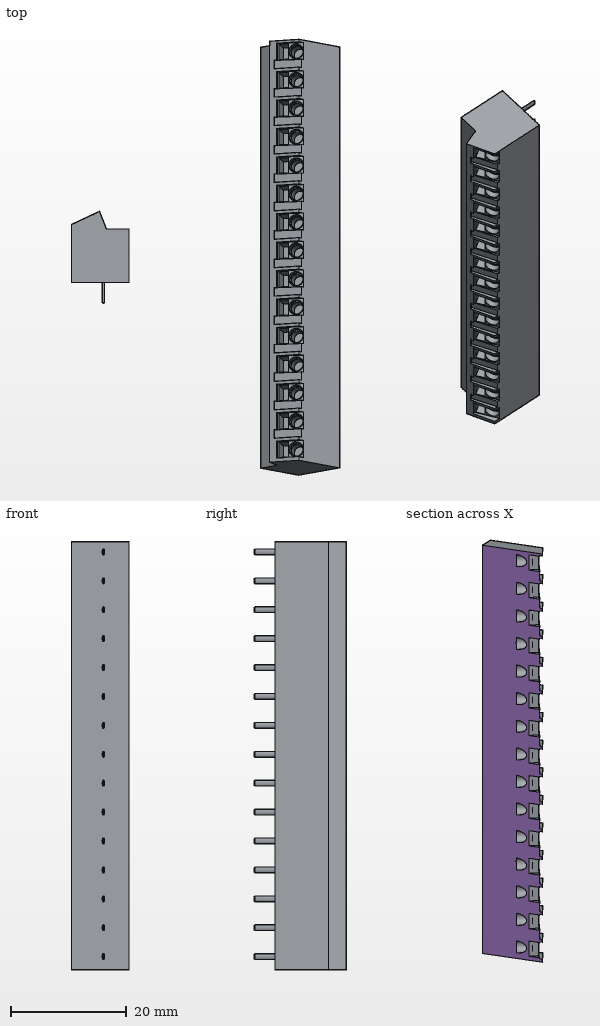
import cadquery as cq
import math

LENGTH = 74.1
WIDTH = 10.0
TOTAL_DEPTH = 15.9
PIN_LENGTH = 3.55
HOUSING_DEPTH = TOTAL_DEPTH - PIN_LENGTH
RIDGE_X = 4.9
SHOULDER_DROP = 2.3
LEDGE_DROP = 3.05
LEDGE_X = 6.1

POLES = 15
FIRST_PIN_Z = 2.3
LAST_PIN_MARGIN = 1.8
PITCH = (LENGTH - FIRST_PIN_Z - LAST_PIN_MARGIN) / (POLES - 1)

PIN_X = 5.55
PIN_THICKNESS = 0.45
PIN_WIDTH = 1.05
PIN_TIP_TAPER = 0.15
PIN_EMBED = 0.75

POCKET_WIDTH = 3
POCKET_OFFSET = -0.15
POCKET_TOP_X = 3.7
POCKET_MOUTH_DEPTH = 1.1
RECESS_TOP_DEPTH = 0.4

SLOT_WIDTH = 1.5
SLOT_TOP_X = 4.15
SLOT_MOUTH_DEPTH = 0.7
SLOT_OFFSET = PITCH + POCKET_OFFSET - (POCKET_WIDTH + SLOT_WIDTH) / 2

OPENING_DEPTH = 3.7
RELEASE_WIDTH = 2.7
RELEASE_LENGTH = 1.6
RELEASE_DISTANCE = 3.5
WIRE_DIAMETER = 2.5
WIRE_STEP_DEPTH = 1.1
WIRE_INNER_DIAMETER = 2.1
WIRE_DISTANCE = 1.3

FACE_ANGLE = math.atan2(SHOULDER_DROP, RIDGE_X)
SHOULDER_Y = HOUSING_DEPTH - SHOULDER_DROP


def make_housing():
    """Extrude the ridged section along Z, with its base on Y = 0."""
    ledge_y = HOUSING_DEPTH - LEDGE_DROP
    outline = [
        (0, 0),
        (WIDTH, 0),
        (WIDTH, ledge_y),
        (LEDGE_X, ledge_y),
        (RIDGE_X, HOUSING_DEPTH),
        (0, SHOULDER_Y),
    ]
    return cq.Workplane("XY").polyline(outline).close().extrude(LENGTH)


def wire_face_y(x):
    """Return the Y of the sloping wire face at a given X."""
    return SHOULDER_Y + x * math.tan(FACE_ANGLE)


def recess_floor(top_x, mouth_depth):
    """Return the outer and inner ends of a recess floor in the XY section."""
    inner_x = top_x + RECESS_TOP_DEPTH * math.sin(FACE_ANGLE)
    inner_y = wire_face_y(top_x) - RECESS_TOP_DEPTH * math.cos(FACE_ANGLE)
    return (0, SHOULDER_Y - mouth_depth), (inner_x, inner_y)


def make_recess(top_x, mouth_depth, width, centre_z):
    """Wedge under the wire face, ending in a wall square to that face."""
    outer, inner = recess_floor(top_x, mouth_depth)
    return (
        cq.Workplane("XY", origin=(0, 0, centre_z))
        .polyline([outer, inner, (top_x, wire_face_y(top_x)), (0, SHOULDER_Y)])
        .close()
        .extrude(width / 2, both=True)
    )


def make_pocket(centre_z):
    """Wire pocket with a rectangular release opening and a stepped wire hole."""
    outer, inner = recess_floor(POCKET_TOP_X, POCKET_MOUTH_DEPTH)
    rise = (inner[0] - outer[0], inner[1] - outer[1], 0)
    floor = cq.Workplane(
        cq.Plane(
            origin=(outer[0], outer[1], centre_z),
            xDir=rise,
            normal=(-rise[1], rise[0], 0),
        )
    )
    release = (
        floor.center(RELEASE_DISTANCE, 0)
        .rect(RELEASE_LENGTH, RELEASE_WIDTH)
        .extrude(-OPENING_DEPTH)
    )
    wire_axis = floor.center(WIRE_DISTANCE, 0)
    wire_entry = wire_axis.circle(WIRE_DIAMETER / 2).extrude(-WIRE_STEP_DEPTH)
    wire_bore = wire_axis.circle(WIRE_INNER_DIAMETER / 2).extrude(-OPENING_DEPTH)
    recess = make_recess(POCKET_TOP_X, POCKET_MOUTH_DEPTH, POCKET_WIDTH, centre_z)
    return recess.union(release).union(wire_entry).union(wire_bore)


def make_pin(centre_z):
    """Straight pin pointing along -Y from the base, with a tapered tip."""
    half_thickness = PIN_THICKNESS / 2
    half_width = PIN_WIDTH / 2
    shank = (
        cq.Workplane("XZ", origin=(PIN_X, PIN_EMBED, centre_z))
        .ellipse(half_thickness, half_width)
        .extrude(PIN_EMBED + PIN_LENGTH - PIN_TIP_TAPER)
    )
    tip = (
        cq.Workplane("XZ", origin=(PIN_X, PIN_TIP_TAPER - PIN_LENGTH, centre_z))
        .ellipse(half_thickness, half_width)
        .workplane(offset=PIN_TIP_TAPER)
        .ellipse(half_thickness - PIN_TIP_TAPER, half_width - PIN_TIP_TAPER)
        .loft()
    )
    return shank.union(tip)


result = make_housing()
for pole in range(POLES):
    pin_z = FIRST_PIN_Z + pole * PITCH
    result = result.cut(make_pocket(pin_z + POCKET_OFFSET))
    if pole < POLES - 1:
        slot_z = pin_z + SLOT_OFFSET
        result = result.cut(make_recess(SLOT_TOP_X, SLOT_MOUTH_DEPTH, SLOT_WIDTH, slot_z))
    result = result.union(make_pin(pin_z))